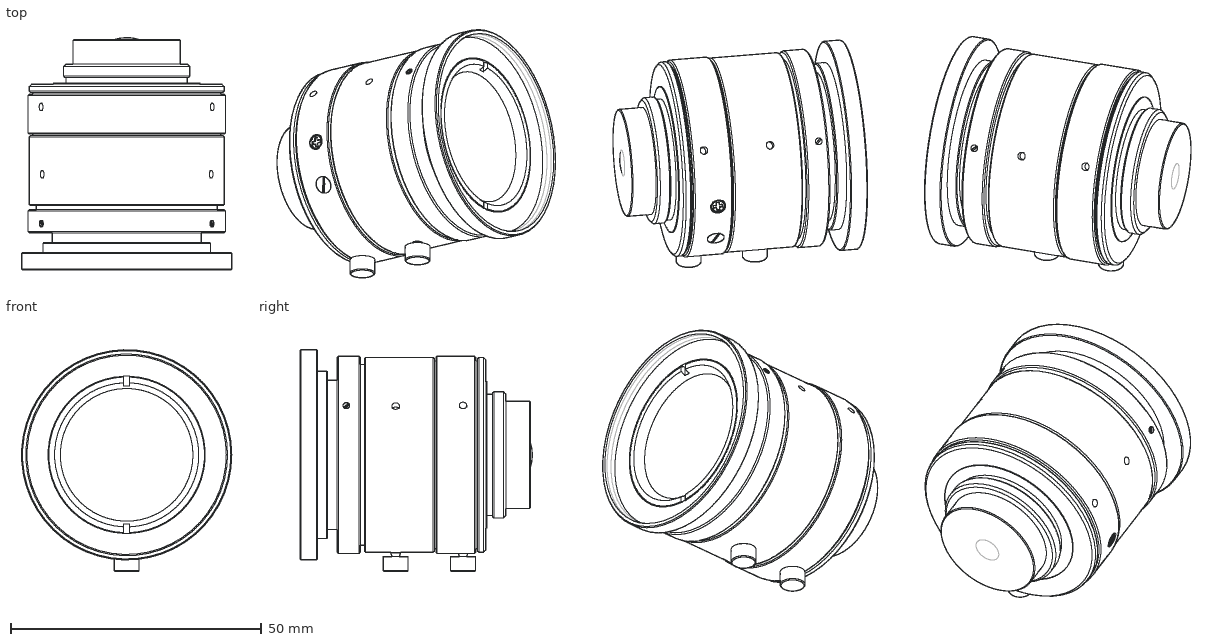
import cadquery as cq
import math


FLANGE_DIA = 42.0
RING_DIA = 39.5
BARREL_DIA = 39.0
RELIEF_DIA = 37.6
TUBE_DIA = 21.5
EDGE = 0.2
RING_EDGE = 0.3
REAR_EDGE = 0.5
TUBE_END = 46.0

SECTIONS = [
    (3.5, FLANGE_DIA, EDGE, EDGE),
    (5.5, 33.5, 0.0, EDGE),
    (7.4, 29.85, 0.0, 0.0),
    (12.05, RING_DIA, RING_EDGE, RING_EDGE),
    (12.9, 36.2, 0.0, 0.0),
    (26.9, BARREL_DIA, EDGE, RING_EDGE),
    (27.2, RELIEF_DIA, 0.0, 0.0),
    (35.1, RING_DIA, EDGE, RING_EDGE),
    (35.4, RELIEF_DIA, 0.0, 0.0),
    (37.1, BARREL_DIA, RING_EDGE, REAR_EDGE),
    (37.3, 29.3, 0.0, 0.0),
    (38.4, 24.3, 0.0, 0.0),
    (41.1, 25.3, RING_EDGE, REAR_EDGE),
    (TUBE_END, TUBE_DIA, 0.0, EDGE),
]

RIM_RADIUS = 20.15
RECESS_RADIUS = 19.9
RIM_DEPTH = 0.6
RIM_TAPER_END = 1.45
RECESS_DEPTH = 2.5
RETAINER_RADIUS = 15.7
RETAINER_GAP = 0.15
RETAINER_GAP_DEPTH = 0.3
CONE_FRONT_RADIUS = 14.4
LENS_RADIUS = 13.25
CONE_DEPTH = 1.9
LENS_SPHERE_RADIUS = 38.0
NOTCH_WIDTH = 1.2
NOTCH_INNER_RADIUS = 13.7
NOTCH_DEPTH = 1.0

OVERALL_LENGTH = 46.42
REAR_CAP_RADIUS = 2.6
REAR_CAP_ROOT_Y = TUBE_END - 1.0

KNOB_HOLE_Y = 32.55
BARREL_HOLE_Y = 19.1
SET_SCREW_Y = 9.25
SIDE_HOLE_ANGLES = (30.0, 150.0)
SIDE_HOLE_DIA = 1.5
RING_HOLE_DEPTH = 2.5
BARREL_HOLE_DEPTH = 1.7
SET_SCREW_DIA = 1.32
SET_SCREW_SINK = 0.15
SET_SCREW_SLOT = 0.3
SET_SCREW_TILT = -45.0

SCREW_Y = 30.15
CROSS_SCREW_ANGLE = 184.6
CROSS_SCREW_DIA = 3.0
CROSS_SCREW_HEAD_DIA = 2.5
CROSS_SLOT_WIDTH = 0.6
CROSS_SLOT_LENGTH = 1.8
CROSS_SLOT_TILT = 5.0
SLOT_SCREW_ANGLE = 210.3
SLOT_SCREW_DIA = 3.4
SLOT_WIDTH = 0.4
SLOT_TILT = -20.0
SCREW_SINK = 0.12
SLOT_DEPTH = 0.3
CUT_CLEARANCE = 1.0

KNOB_DIA = 5.0
KNOB_TOP = -20.33
KNOB_OVERHANG = 2.35
KNOB_BOTTOM = -FLANGE_DIA / 2 - KNOB_OVERHANG
KNOB_EDGE = 0.2
STEM_ROOT = -19.0
STEM_TAPER_START = -19.65
STEM_DIA = 2.0
STEM_TIP_DIA = 1.5


def revolve_about_axis(outline):
    """Turn a closed (radius, Y) outline about the Y axis."""
    return outline.close().revolve(360, (0, 0, 0), (0, 1, 0))


def turned_body():
    """Join all coaxial stretches as one revolved profile."""
    points = [(0, 0)]
    start = 0.0
    for end, diameter, front_chamfer, rear_chamfer in SECTIONS:
        radius = diameter / 2
        stretch = [
            (radius - front_chamfer, start),
            (radius, start + front_chamfer),
            (radius, end - rear_chamfer),
            (radius - rear_chamfer, end),
        ]
        for point in stretch:
            if point != points[-1]:
                points.append(point)
        start = end
    points.append((0, start))
    return revolve_about_axis(cq.Workplane("XY").polyline(points))


def dome_arc(edge_radius, sphere_radius, apex_y, rear_sign):
    """Arc points (mid, apex) of a dome on the axis; rear_sign is +1 if its apex points to +Y, else -1."""
    half_angle = math.asin(edge_radius / sphere_radius) / 2
    mid_drop = sphere_radius * (1 - math.cos(half_angle))
    mid_point = (sphere_radius * math.sin(half_angle), apex_y - rear_sign * mid_drop)
    return mid_point, (0, apex_y)


def front_recess():
    """Stepped recess in the flange, tapering down to the domed front lens."""
    lens_edge_y = RECESS_DEPTH + CONE_DEPTH
    lens_sag = LENS_SPHERE_RADIUS - math.sqrt(LENS_SPHERE_RADIUS**2 - LENS_RADIUS**2)
    mid_point, apex = dome_arc(LENS_RADIUS, LENS_SPHERE_RADIUS, lens_edge_y - lens_sag, -1)
    outline = (
        cq.Workplane("XY")
        .moveTo(0, 0)
        .lineTo(RIM_RADIUS, 0)
        .lineTo(RIM_RADIUS, RIM_DEPTH)
        .lineTo(RECESS_RADIUS, RIM_TAPER_END)
        .lineTo(RECESS_RADIUS, RECESS_DEPTH)
        .lineTo(CONE_FRONT_RADIUS, RECESS_DEPTH)
        .lineTo(LENS_RADIUS, lens_edge_y)
        .threePointArc(mid_point, apex)
    )
    return revolve_about_axis(outline)


def retainer_gap():
    """Thin ring groove around the lens retainer."""
    outer = cq.Workplane("XZ").circle(RETAINER_RADIUS)
    ring = outer.circle(RETAINER_RADIUS - RETAINER_GAP).extrude(-RETAINER_GAP_DEPTH)
    return ring.translate((0, RECESS_DEPTH, 0))


def retainer_notch(side):
    """Spanner notch across the retainer, at +Z (side = 1) or -Z (side = -1)."""
    height = RETAINER_RADIUS - NOTCH_INNER_RADIUS
    middle = (RETAINER_RADIUS + NOTCH_INNER_RADIUS) / 2
    notch = cq.Workplane("XY").box(NOTCH_WIDTH, NOTCH_DEPTH, height)
    return notch.translate((0, RECESS_DEPTH + NOTCH_DEPTH / 2, side * middle))


def rear_lens_cap():
    """Shallow spherical cap standing out of the rear end face."""
    height = OVERALL_LENGTH - TUBE_END
    sphere_radius = (REAR_CAP_RADIUS**2 + height**2) / (2 * height)
    mid_point, apex = dome_arc(REAR_CAP_RADIUS, sphere_radius, OVERALL_LENGTH, 1)
    outline = (
        cq.Workplane("XY")
        .moveTo(0, REAR_CAP_ROOT_Y)
        .lineTo(REAR_CAP_RADIUS, REAR_CAP_ROOT_Y)
        .lineTo(REAR_CAP_RADIUS, TUBE_END)
        .threePointArc(mid_point, apex)
    )
    return revolve_about_axis(outline)


def radial_plane(angle, y, radius):
    """Work plane facing outwards at the given angle about the axis; its local X runs around the body."""
    direction = cq.Vector(math.cos(math.radians(angle)), 0, math.sin(math.radians(angle)))
    origin = direction * radius + cq.Vector(0, y, 0)
    across = cq.Vector(0, 1, 0).cross(direction)
    return cq.Workplane(cq.Plane(origin=origin, xDir=across, normal=direction))


def side_hole(angle, y, surface_dia, depth):
    """Blind radial hole."""
    plane = radial_plane(angle, y, surface_dia / 2 - depth)
    return plane.circle(SIDE_HOLE_DIA / 2).extrude(2 * depth)


def set_screw(angle):
    """Sunk slotted set screw in the front ring."""
    face = RING_DIA / 2 - SET_SCREW_SINK
    sink = radial_plane(angle, SET_SCREW_Y, face).circle(SET_SCREW_DIA / 2).extrude(CUT_CLEARANCE)
    slot_plane = radial_plane(angle, SET_SCREW_Y, face - SLOT_DEPTH)
    slot_plane = slot_plane.transformed(rotate=(0, 0, SET_SCREW_TILT))
    slot = slot_plane.rect(SET_SCREW_DIA, SET_SCREW_SLOT).extrude(SLOT_DEPTH)
    return sink.union(slot)


def slot_screw():
    """Flat screw head with a single slot, in the rear ring."""
    face = RING_DIA / 2 - SCREW_SINK
    head = radial_plane(SLOT_SCREW_ANGLE, SCREW_Y, face).circle(SLOT_SCREW_DIA / 2).extrude(CUT_CLEARANCE)
    slot_plane = radial_plane(SLOT_SCREW_ANGLE, SCREW_Y, face - SLOT_DEPTH)
    slot_plane = slot_plane.transformed(rotate=(0, 0, SLOT_TILT))
    slot = slot_plane.rect(SLOT_SCREW_DIA, SLOT_WIDTH).extrude(SLOT_DEPTH)
    return head.union(slot)


def cross_screw():
    """Cross-recessed screw head inside a ring-shaped gap, in the rear ring."""
    face = RING_DIA / 2 - SCREW_SINK
    head = radial_plane(CROSS_SCREW_ANGLE, SCREW_Y, face).circle(CROSS_SCREW_DIA / 2).extrude(CUT_CLEARANCE)
    floor = radial_plane(CROSS_SCREW_ANGLE, SCREW_Y, face - SLOT_DEPTH)
    gap = floor.circle(CROSS_SCREW_DIA / 2).circle(CROSS_SCREW_HEAD_DIA / 2).extrude(SLOT_DEPTH)
    cross = floor.transformed(rotate=(0, 0, CROSS_SLOT_TILT))
    arm_a = cross.rect(CROSS_SLOT_LENGTH, CROSS_SLOT_WIDTH).extrude(SLOT_DEPTH)
    arm_b = cross.rect(CROSS_SLOT_WIDTH, CROSS_SLOT_LENGTH).extrude(SLOT_DEPTH)
    return head.union(gap).union(arm_a).union(arm_b)


def knob(y):
    """Thumb screw below the body: tapered stem and cylindrical head."""
    outline = (
        cq.Workplane("XZ")
        .moveTo(0, STEM_ROOT)
        .lineTo(STEM_DIA / 2, STEM_ROOT)
        .lineTo(STEM_DIA / 2, STEM_TAPER_START)
        .lineTo(STEM_TIP_DIA / 2, KNOB_TOP)
        .lineTo(KNOB_DIA / 2, KNOB_TOP)
        .lineTo(KNOB_DIA / 2, KNOB_BOTTOM + KNOB_EDGE)
        .lineTo(KNOB_DIA / 2 - KNOB_EDGE, KNOB_BOTTOM)
        .lineTo(0, KNOB_BOTTOM)
        .close()
    )
    return outline.revolve(360, (0, 0, 0), (0, 1, 0)).translate((0, y, 0))


result = turned_body().union(rear_lens_cap())
result = result.cut(front_recess()).cut(retainer_gap())
for notch_side in (1, -1):
    result = result.cut(retainer_notch(notch_side))

for hole_angle in SIDE_HOLE_ANGLES:
    result = result.cut(side_hole(hole_angle, KNOB_HOLE_Y, RING_DIA, RING_HOLE_DEPTH))
    result = result.cut(side_hole(hole_angle, BARREL_HOLE_Y, BARREL_DIA, BARREL_HOLE_DEPTH))
    result = result.cut(set_screw(hole_angle))

result = result.cut(slot_screw()).cut(cross_screw())

for knob_y in (KNOB_HOLE_Y, BARREL_HOLE_Y):
    result = result.union(knob(knob_y))